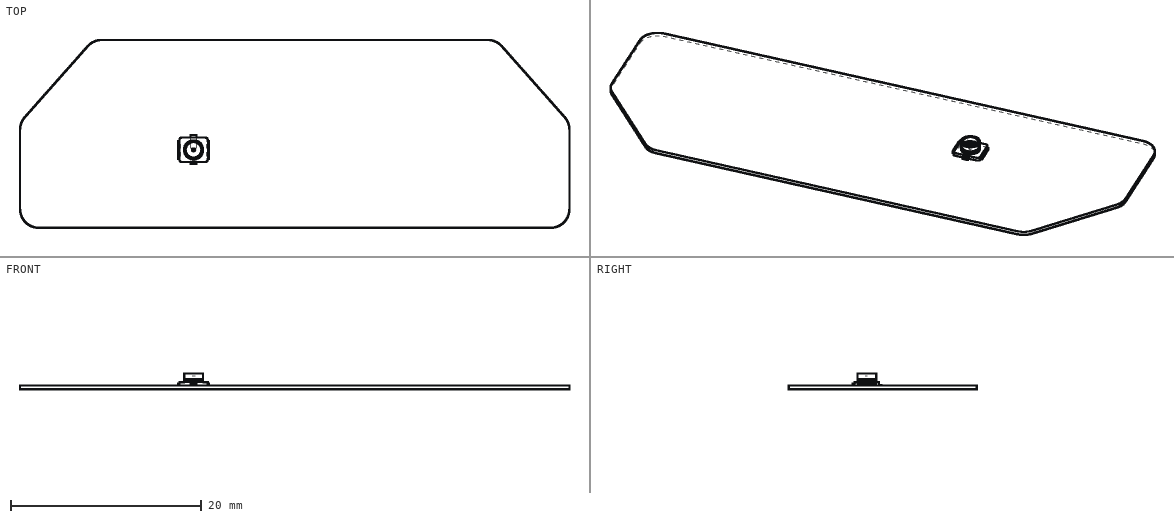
import cadquery as cq

board_length = 57.82
board_width = 19.8
board_thickness = 0.41
board_corner_radius = 2.0
slant_length = 7.72
slant_width = 8.71

connector_x = -10.65
connector_y = -1.68
connector_height = 1.25

base_length = 3.0
base_width = 2.6
base_height = 0.35
base_corner_radius = 0.3

shell_diameter = 2.0
shell_bore_diameter = 1.65
groove_diameter = 1.85
groove_height = 0.2
shell_foot_height = 0.1
groove_bottom = base_height + shell_foot_height

pin_diameter = 0.3
pin_height = 1.0
tail_width = 0.6
tail_thickness = 0.05
tail_reach = 1.55

side_tab_length = 0.3
side_tab_width = 1.9
side_tab_height = 0.22
side_tab_reach = 1.65
front_tab_width = 0.6
front_tab_length = 0.35
front_tab_reach = 1.5
front_tab_height = side_tab_height


def make_board():
    half_length = board_length / 2
    half_width = board_width / 2
    outline = [
        (-half_length, -half_width),
        (half_length, -half_width),
        (half_length, half_width - slant_width),
        (half_length - slant_length, half_width),
        (-half_length + slant_length, half_width),
        (-half_length, half_width - slant_width),
    ]
    plate = cq.Workplane("XY").polyline(outline).close().extrude(board_thickness)
    return plate.edges("|Z").fillet(board_corner_radius)


def box_on_board(x_min, x_max, y_min, y_max, height):
    """Box standing on Z = 0 of the connector's own frame."""
    size = (x_max - x_min, y_max - y_min, height)
    corner = (x_min, y_min, 0)
    return cq.Workplane("XY").box(*size, centered=False).translate(corner)


def make_contact():
    pin = cq.Workplane("XY").circle(pin_diameter / 2).extrude(pin_height)
    tail = box_on_board(-tail_width / 2, tail_width / 2, 0, tail_reach, tail_thickness)
    return pin.union(tail)


def make_side_tab(side):
    center_x = side * (side_tab_reach - side_tab_length / 2)
    return box_on_board(
        center_x - side_tab_length / 2,
        center_x + side_tab_length / 2,
        -side_tab_width / 2,
        side_tab_width / 2,
        side_tab_height,
    )


def make_front_tab():
    return box_on_board(
        -front_tab_width / 2,
        front_tab_width / 2,
        -front_tab_reach,
        front_tab_length - front_tab_reach,
        front_tab_height,
    )


def make_shell():
    bore_radius = shell_bore_diameter / 2
    outer_radius = shell_diameter / 2
    groove_radius = groove_diameter / 2
    groove_top = groove_bottom + groove_height
    profile = [
        (bore_radius, base_height),
        (outer_radius, base_height),
        (outer_radius, groove_bottom),
        (groove_radius, groove_bottom),
        (groove_radius, groove_top),
        (outer_radius, groove_top),
        (outer_radius, connector_height),
        (bore_radius, connector_height),
    ]
    return cq.Workplane("XZ").polyline(profile).close().revolve(360, (0, 0, 0), (0, 1, 0))


def make_base(embedded_bodies):
    base = cq.Workplane("XY").rect(base_length, base_width).extrude(base_height)
    base = base.edges("|Z").fillet(base_corner_radius)
    for body in embedded_bodies:
        base = base.cut(body)
    return base


def place_on_board(body):
    return body.translate((connector_x, connector_y, board_thickness))


board = make_board()
contact = make_contact()
side_tabs = [make_side_tab(side) for side in (-1, 1)]
front_tab = make_front_tab()
shell = make_shell()
base = make_base([contact, front_tab, *side_tabs])

connector_bodies = [base, shell, contact, front_tab, *side_tabs]
result = cq.Compound.makeCompound(
    [board.val(), *[place_on_board(body).val() for body in connector_bodies]]
)